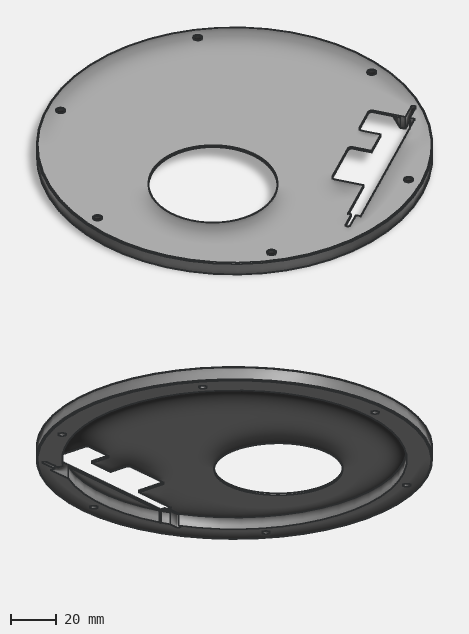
import cadquery as cq
import math

outer_diameter = 173.0
height = 6.5
cavity_diameter = 150.7
plate_thickness = 1.0
edge_chamfer = 0.5

screw_count = 6
screw_diameter = 3.5
screw_circle_radius = 80.1
screw_chamfer = 0.3

opening_diameter = 56.2
opening_y = -30.0
opening_chamfer = 0.2

cutout_y = 5.5
cutout_length = 74.9
cutout_right = 68.7
cutout_left = 47.7
narrow_left = 62.8
wide_bottom = -10.0
tongue_tip = 58.1
tongue_top = 27.5
tongue_bottom = 14.9
corner_radius = 1.7

slot_x = 65.4
slot_width = 2.0
slot_length = 92.9


def make_disc():
    disc = cq.Workplane("XY").circle(outer_diameter / 2).extrude(height)
    disc = disc.faces("<Z or >Z").edges().chamfer(edge_chamfer)
    cavity = cq.Workplane("XY").circle(cavity_diameter / 2).extrude(height - plate_thickness)
    return disc.cut(cavity)


def make_hole_cutter(x, y, diameter, chamfer):
    """Through hole with a 45 degree chamfer at the top face."""
    radius = diameter / 2
    bore = cq.Workplane("XY").center(x, y).circle(radius).extrude(height)
    flare = cq.Solid.makeCone(
        radius, radius + chamfer, chamfer, pnt=cq.Vector(x, y, height - chamfer)
    )
    return bore.union(cq.Workplane(flare))


def make_cutout_cutter():
    top = cutout_y + cutout_length / 2
    bottom = cutout_y - cutout_length / 2
    outline = [
        (cutout_right, bottom),
        (cutout_right, top),
        (cutout_left, top),
        (cutout_left, tongue_top),
        (tongue_tip, tongue_top),
        (tongue_tip, tongue_bottom),
        (cutout_left, tongue_bottom),
        (cutout_left, wide_bottom),
        (narrow_left, wide_bottom),
        (narrow_left, bottom),
    ]
    cutter = cq.Workplane("XY").polyline(outline).close().extrude(height)
    left_corners = cq.selectors.BoxSelector(
        (cutout_left - corner_radius, bottom, 0),
        (cutout_left + corner_radius, top + corner_radius, height),
    )
    cutter = cutter.edges("|Z").edges(left_corners).fillet(corner_radius)
    slot = (
        cq.Workplane("XY")
        .center(slot_x, cutout_y)
        .slot2D(slot_length, slot_width, 90)
        .extrude(height)
    )
    return cutter.union(slot)


result = make_disc()
result = result.cut(make_hole_cutter(0, opening_y, opening_diameter, opening_chamfer))
for index in range(screw_count):
    angle = 2 * math.pi * index / screw_count
    screw_x = screw_circle_radius * math.cos(angle)
    screw_y = screw_circle_radius * math.sin(angle)
    result = result.cut(make_hole_cutter(screw_x, screw_y, screw_diameter, screw_chamfer))
result = result.cut(make_cutout_cutter())